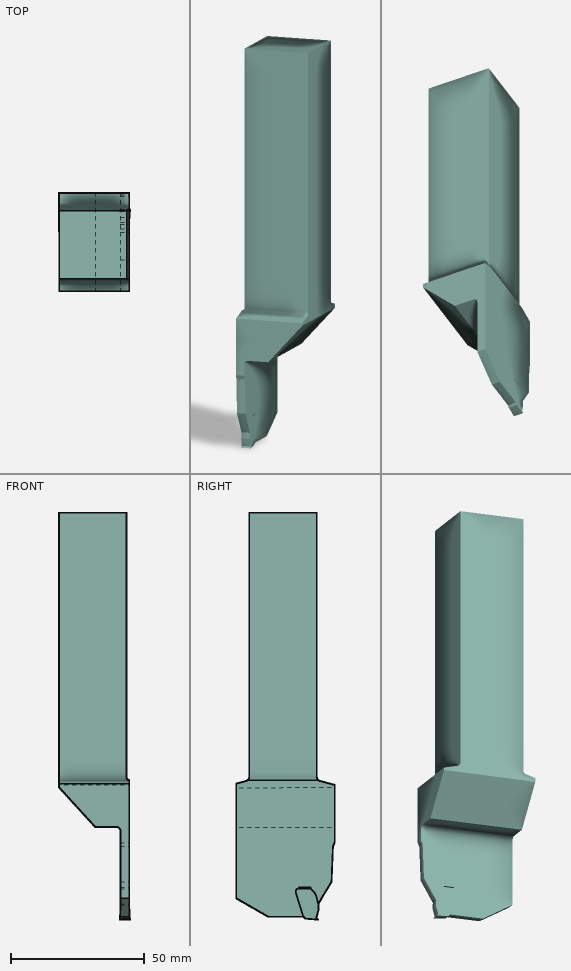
import cadquery as cq
import math


tool_length = 152.4
shank_size = 25.4
shank_half = shank_size / 2

overhang_back = 6.67
overhang_front = 4.83
flare_angle = math.radians(15)
flare_root_z = 52.3
root_fillet = 1.5
head_back_y = shank_half + overhang_back
head_front_y = -shank_half - overhang_front

lean_angle = math.radians(0.23)

insert_edge_width = 3.94
blade_width = 3.38
edge_right_x = 26.69
blade_centre_x = edge_right_x - insert_edge_width / 2
blade_left_x = blade_centre_x - blade_width / 2
blade_right_x = blade_centre_x + blade_width / 2

slant_top_z = 49.6
head_bottom_z = 34.7
slant_end_x = 13.6
blade_fillet = 1.5

notch_top_z = 28.9
notch_bottom_z = 27.5
notch_bottom_y = 18.73
corner_y, corner_z = 18.2, 14.2
rake_corner_y, rake_corner_z = 13.13, 5.83
blade_bottom_z = 1.1
blade_bottom_back_y = 7.6
bevel_angle = math.radians(30)
bevel_top_z = 8.0
bevel_bottom_y = head_front_y + (bevel_top_z - blade_bottom_z) / math.tan(bevel_angle)

tip = (13.1, 0.0)
hook_root = (12.45, 0.6)
rake_bottom = (13.3, 3.55)
rake_top = (13.3, 5.6)
seat_back_bottom = (12.85, 6.9)
seat_back_middle = (11.9, 9.9)
seat_top_back = (10.2, 11.7)
seat_top_front = (6.0, 11.7)
seat_corner_middle = (5.05, 11.35)
seat_corner_end = (4.85, 9.9)
flank_top = (7.55, 1.25)
flank_bottom = (8.3, 0.4)

seat_gap = 0.4

flare_start = (12.25, 3.2)
flare_end = (10.1, 0.78)


def flare_side(side, head_y):
    """Points of one head flare: fillet start, fillet middle, fillet end and outer edge."""
    turn = math.pi / 2 - flare_angle
    centre_y = shank_half + root_fillet
    centre_z = flare_root_z + root_fillet * math.tan(turn / 2)

    def on_fillet(angle):
        y = centre_y - root_fillet * math.cos(angle)
        z = centre_z - root_fillet * math.sin(angle)
        return (side * y, z)

    overhang = abs(head_y) - shank_half
    outer = (head_y, flare_root_z - overhang * math.tan(flare_angle))
    return on_fillet(0), on_fillet(turn / 2), on_fillet(turn), outer


def make_side_profile():
    """Outline of the holder across its depth, extruded through its whole width."""
    back_start, back_middle, back_end, back_outer = flare_side(1, head_back_y)
    front_start, front_middle, front_end, front_outer = flare_side(-1, head_front_y)
    return (
        cq.Workplane("YZ")
        .moveTo(-shank_half, tool_length)
        .lineTo(shank_half, tool_length)
        .lineTo(*back_start)
        .threePointArc(back_middle, back_end)
        .lineTo(*back_outer)
        .lineTo(head_back_y, notch_top_z)
        .lineTo(notch_bottom_y, notch_bottom_z)
        .lineTo(corner_y, corner_z)
        .lineTo(rake_corner_y, rake_corner_z)
        .lineTo(blade_bottom_back_y, blade_bottom_z)
        .lineTo(bevel_bottom_y, blade_bottom_z)
        .lineTo(head_front_y, bevel_top_z)
        .lineTo(*front_outer)
        .lineTo(*front_end)
        .threePointArc(front_middle, front_start)
        .close()
        .extrude(blade_right_x)
    )


def make_width_profile():
    """Outline of the holder across its width, extruded through its whole depth."""
    step = blade_right_x - shank_size
    diagonal = math.sqrt(0.5)
    fillet_middle = (blade_right_x - step * diagonal, flare_root_z + step * (1 - diagonal))
    inner_middle = (
        blade_left_x - blade_fillet * (1 - diagonal),
        head_bottom_z - blade_fillet * (1 - diagonal),
    )
    return (
        cq.Workplane("XZ", origin=(0, head_back_y, 0))
        .moveTo(0, tool_length)
        .lineTo(shank_size, tool_length)
        .lineTo(shank_size, flare_root_z + step)
        .threePointArc(fillet_middle, (blade_right_x, flare_root_z))
        .lineTo(blade_right_x, 0)
        .lineTo(blade_left_x, 0)
        .lineTo(blade_left_x, head_bottom_z - blade_fillet)
        .threePointArc(inner_middle, (blade_left_x - blade_fillet, head_bottom_z))
        .lineTo(slant_end_x, head_bottom_z)
        .lineTo(0, slant_top_z)
        .close()
        .extrude(head_back_y - head_front_y)
    )


def make_lean_cut():
    """Thin wedge that tilts the holder's -X face about its +Y edge."""
    depth = head_back_y - head_front_y
    return (
        cq.Workplane("XY")
        .moveTo(0, head_back_y)
        .lineTo(depth * math.tan(lean_angle), head_front_y)
        .lineTo(0, head_front_y)
        .close()
        .extrude(tool_length)
    )


def insert_plate(width):
    """The insert's outline as a flat plate centred on the blade."""
    return (
        cq.Workplane("YZ", origin=(blade_centre_x, 0, 0))
        .moveTo(*tip)
        .lineTo(*hook_root)
        .lineTo(*rake_bottom)
        .lineTo(*rake_top)
        .lineTo(*seat_back_bottom)
        .threePointArc(seat_back_middle, seat_top_back)
        .lineTo(*seat_top_front)
        .threePointArc(seat_corner_middle, seat_corner_end)
        .lineTo(*flank_top)
        .lineTo(*flank_bottom)
        .close()
        .extrude(width / 2, both=True)
    )


def make_insert():
    """Blade-width plate whose sides widen from the flare line out to the cutting edge."""
    along_y = flare_end[0] - flare_start[0]
    along_z = flare_end[1] - flare_start[1]
    line_length = math.hypot(along_y, along_z)
    tip_offset_y = tip[0] - flare_start[0]
    tip_offset_z = tip[1] - flare_start[1]
    tip_reach = (along_z * tip_offset_y - along_y * tip_offset_z) / line_length
    flare_plane = cq.Plane(
        origin=(blade_centre_x, *flare_start),
        xDir=(1, 0, 0),
        normal=(0, along_y, along_z),
    )
    wedge = (
        cq.Workplane(flare_plane)
        .moveTo(-blade_width / 2, 0)
        .lineTo(blade_width / 2, 0)
        .lineTo(insert_edge_width / 2, tip_reach)
        .lineTo(-insert_edge_width / 2, tip_reach)
        .close()
        .extrude(seat_top_back[1], both=True)
    )
    wide_tip = insert_plate(insert_edge_width).intersect(wedge)
    return insert_plate(blade_width).union(wide_tip)


def make_seat_gap_cut():
    """Narrow slot through the blade that clears the insert's flat top."""
    return (
        cq.Workplane("YZ", origin=(blade_centre_x, 0, 0))
        .moveTo(*seat_top_back)
        .lineTo(*seat_top_front)
        .lineTo(seat_top_front[0], seat_top_front[1] + seat_gap)
        .lineTo(seat_top_back[0], seat_top_back[1] + seat_gap)
        .close()
        .extrude(blade_width / 2, both=True)
    )


insert = make_insert()
holder = (
    make_side_profile()
    .intersect(make_width_profile())
    .cut(make_lean_cut())
    .cut(insert)
    .cut(make_seat_gap_cut())
)

result = cq.Compound.makeCompound([holder.solids().val(), insert.solids().val()])